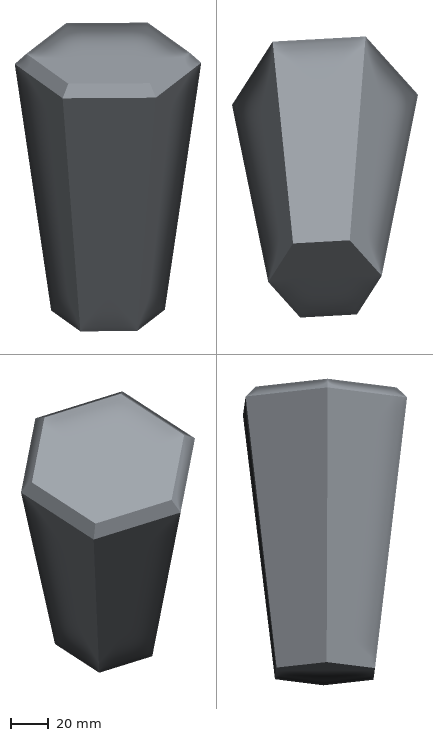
import cadquery as cq

sides = 6
height = 150.0
base_across_corners = 60.0
top_across_corners = 100.0
chamfer_size = 6.0
corner_turn = 30.0


def tapered_prism():
    """Hexagonal prism standing on z = 0 and widening evenly towards the top."""
    return (
        cq.Workplane("XY")
        .transformed(rotate=(0, 0, corner_turn))
        .polygon(sides, base_across_corners)
        .workplane(offset=height)
        .polygon(sides, top_across_corners)
        .loft(ruled=True)
    )


def chamfer_top(body):
    """Bevel the six edges around the top face."""
    return body.faces(">Z").edges().chamfer(chamfer_size)


result = chamfer_top(tapered_prism())